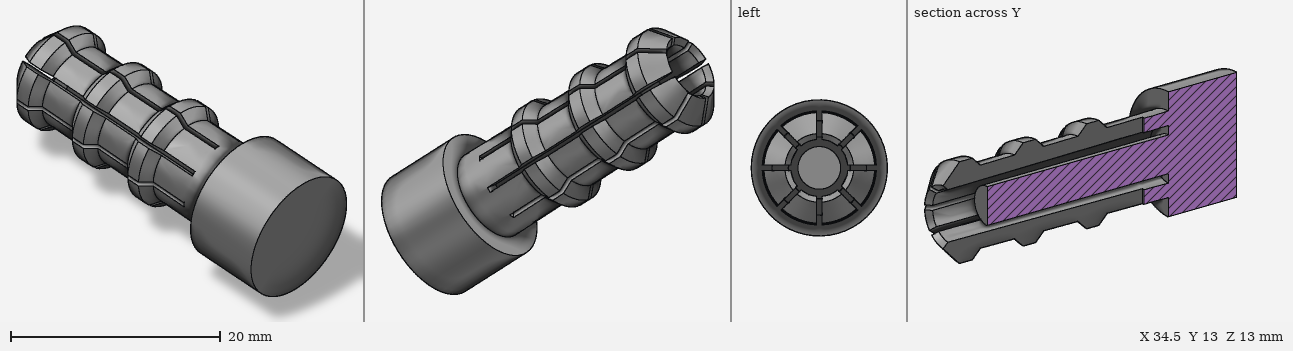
import cadquery as cq

total_length = 34.48
head_diameter = 13.0
head_length = 8.1
head_start = total_length - head_length

shank_tip_radius = 4.28
shank_head_radius = 4.5

rib_count = 3
rib_pitch = 7.48
rib_foot_end = 4.4
rib_foot_length = 3.45
rib_crest_radius = 5.28
rib_crest_growth = 0.085
tip_radius = 3.28
tip_cone_length = 1.93

bore_mouth_radius = 2.72
bore_floor_radius = 2.95
countersink_depth = tip_radius - bore_mouth_radius

core_radius = 2.05
core_setback = 5.0

slot_count = 8
slot_width = 0.5
slot_length = 23.5


def shank_radius(x):
    """Radius of the tapered shank at position x."""
    return shank_tip_radius + (shank_head_radius - shank_tip_radius) * x / head_start


def rib_points(index):
    """Profile points (x, radius) of one rib, from tip side to head side."""
    foot_end = rib_foot_end + index * rib_pitch
    crest = rib_crest_radius + index * rib_crest_growth
    crest_end = foot_end - (crest - shank_radius(foot_end))
    if index == 0:
        lead_in = [(0, tip_radius), (tip_cone_length, crest)]
    else:
        foot_start = foot_end - rib_foot_length
        foot_radius = shank_radius(foot_start)
        lead_in = [(foot_start, foot_radius), (foot_start + crest - foot_radius, crest)]
    return lead_in + [(crest_end, crest), (foot_end, shank_radius(foot_end))]


def revolve_about_axis(points):
    """Revolve a closed (x, radius) outline about the X axis."""
    return cq.Workplane("XY").polyline(points).close().revolve(360, (0, 0, 0), (1, 0, 0))


def make_body():
    """Ribbed shank and cylindrical head."""
    outline = [(0, 0)]
    for index in range(rib_count):
        outline += rib_points(index)
    outline += [
        (head_start, shank_head_radius),
        (head_start, head_diameter / 2),
        (total_length, head_diameter / 2),
        (total_length, 0),
    ]
    return revolve_about_axis(outline)


def make_bore():
    """Tapered bore from the tip, leaving the core pin standing."""
    return revolve_about_axis([
        (0, 0),
        (0, tip_radius),
        (countersink_depth, bore_mouth_radius),
        (head_start, bore_floor_radius),
        (head_start, core_radius),
        (core_setback, core_radius),
        (core_setback, 0),
    ])


def make_slot(angle):
    """Slot through the shank wall, open at the tip, at the given angle about X."""
    inner_radius = (core_radius + bore_mouth_radius) / 2
    slot_height = head_diameter / 2 - inner_radius
    slot = cq.Workplane("XY").box(slot_length, slot_width, slot_height, centered=(False, True, False))
    return slot.translate((0, 0, inner_radius)).rotate((0, 0, 0), (1, 0, 0), angle)


result = make_body().cut(make_bore())
for slot_index in range(slot_count):
    result = result.cut(make_slot(slot_index * 360 / slot_count))